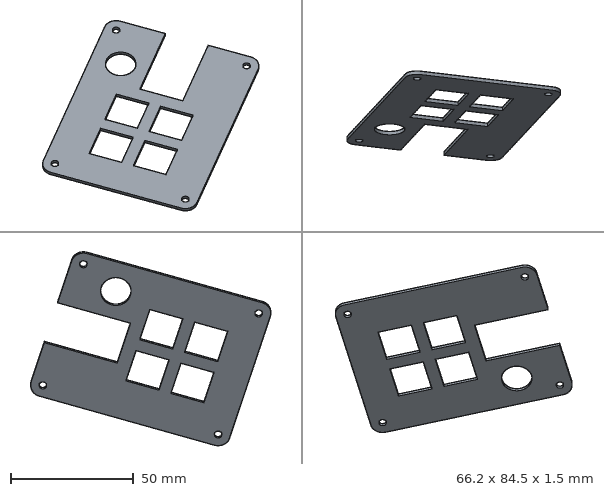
import cadquery as cq

width = 66.2
length = 84.5
thickness = 1.5
corner_radius = 5.0

screw_diameter = 3.0

round_diameter = 12.3
round_x = 12.7
round_y = length - 21.1

notch_left = 24.4
notch_width = 18.5
notch_depth = 31.0

key_size = 14.0
key_pitch = 19.1
first_key_x = 23.3
first_key_y = 21.6


def make_plate():
    plate = cq.Workplane("XY").box(width, length, thickness, centered=False)
    return plate.edges("|Z").fillet(corner_radius)


def opening(x, y, size_x, size_y):
    """Rectangular cutter through the plate, centred on (x, y)."""
    return cq.Workplane("XY").center(x, y).rect(size_x, size_y).extrude(thickness)


def round_hole(x, y, diameter):
    """Cylindrical cutter through the plate, centred on (x, y)."""
    return cq.Workplane("XY").center(x, y).circle(diameter / 2).extrude(thickness)


result = make_plate()

for x in (corner_radius, width - corner_radius):
    for y in (corner_radius, length - corner_radius):
        result = result.cut(round_hole(x, y, screw_diameter))

result = result.cut(round_hole(round_x, round_y, round_diameter))

notch_x = notch_left + notch_width / 2
notch_y = length - notch_depth / 2
result = result.cut(opening(notch_x, notch_y, notch_width, notch_depth))

for column in range(2):
    for row in range(2):
        key_x = first_key_x + column * key_pitch
        key_y = first_key_y + row * key_pitch
        result = result.cut(opening(key_x, key_y, key_size, key_size))